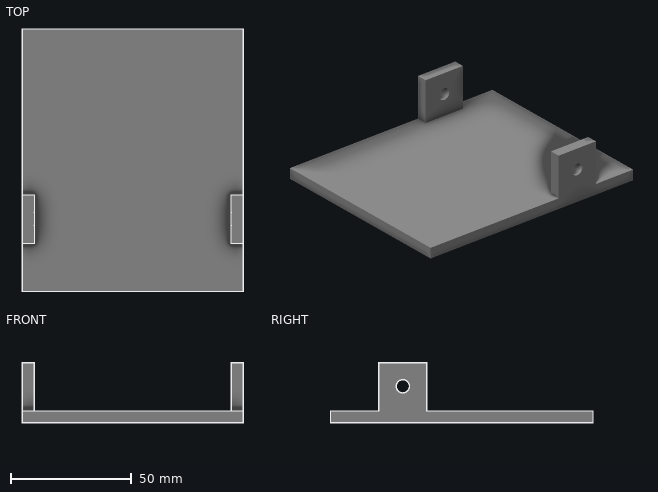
import cadquery as cq

plate_width = 91.6
plate_length = 108.84
plate_thickness = 5.0

lug_thickness = 5.0
lug_length = 20.0
lug_height = 20.0
lug_front_offset = 20.0
pin_hole_diameter = 5.4
pin_hole_rise = 0.2

lug_center_y = -plate_length / 2 + lug_front_offset + lug_length / 2
lug_center_z = plate_thickness + lug_height / 2


def make_plate():
    """Flat rectangular plate with its underside on Z = 0."""
    return cq.Workplane("XY").box(
        plate_width, plate_length, plate_thickness, centered=(True, True, False)
    )


def make_lug(side):
    """Square lug with a pin hole along X; side is -1 or +1 along X."""
    center_x = side * (plate_width - lug_thickness) / 2
    return (
        cq.Workplane("XY")
        .box(lug_thickness, lug_length, lug_height)
        .faces(">X")
        .workplane()
        .center(0, pin_hole_rise)
        .hole(pin_hole_diameter)
        .translate((center_x, lug_center_y, lug_center_z))
    )


result = make_plate()
for side in (-1, 1):
    result = result.union(make_lug(side))